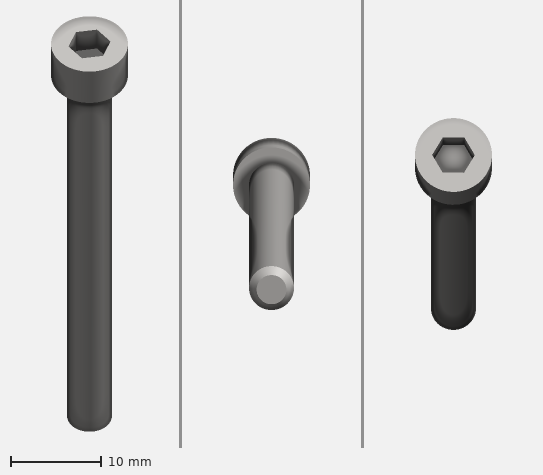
import cadquery as cq
import math

overall_length = 60.0
shank_diameter = 5.0
head_diameter = 8.5
head_height = shank_diameter
shank_length = overall_length - head_height

tip_chamfer = 0.85

socket_across_flats = 4.1
socket_across_corners = socket_across_flats / math.cos(math.pi / 6)
socket_depth = 3.0


def make_head():
    return cq.Workplane("XY").circle(head_diameter / 2).extrude(head_height)


def make_shank():
    shank = cq.Workplane("XY").circle(shank_diameter / 2).extrude(-shank_length)
    return shank.faces("<Z").chamfer(tip_chamfer)


def make_socket():
    top = cq.Workplane("XY").workplane(offset=head_height)
    return top.polygon(6, socket_across_corners).extrude(-socket_depth)


result = make_head().union(make_shank()).cut(make_socket())